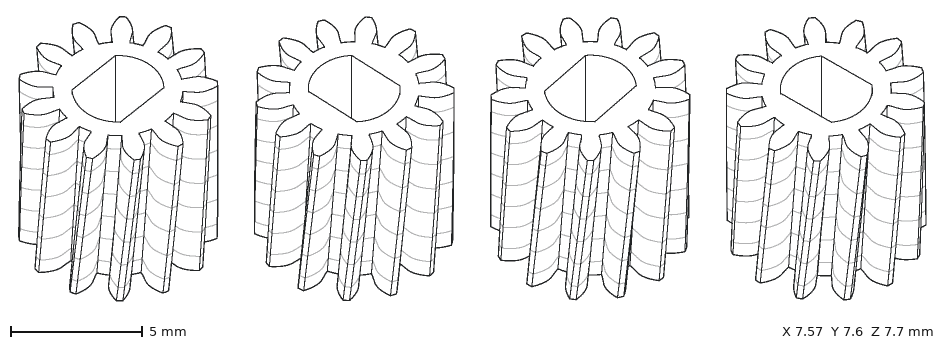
import cadquery as cq
import math


tooth_count = 13
module = 0.5
pressure_angle = math.radians(20)
tip_radius = 3.8
root_radius = 2.47

face_width = 7.7
bore_diameter = 3.5
bore_across_flats = 2.5

total_twist = math.radians(10.2)
twist_step_height = 1.245
twist_step_count = 6
middle_tooth_angle = math.pi

pitch_radius = module * tooth_count / 2
base_radius = pitch_radius * math.cos(pressure_angle)
tooth_pitch_angle = 2 * math.pi / tooth_count
involute_step_count = 4


def involute_angle(radius):
    """Polar angle swept by the involute between the base circle and a radius."""
    roll_pressure_angle = math.acos(base_radius / radius)
    return math.tan(roll_pressure_angle) - roll_pressure_angle


def half_tooth_angle(radius):
    """Half of the angle covered by a tooth; flanks are radial inside the base circle."""
    half_angle_at_pitch = tooth_pitch_angle / 4
    half_angle_at_base = half_angle_at_pitch + involute_angle(pitch_radius)
    return half_angle_at_base - involute_angle(max(radius, base_radius))


def polar_point(radius, angle):
    return (radius * math.cos(angle), radius * math.sin(angle))


def flank_radii():
    """Radii of the points on a flank: the radial foot, then the involute up to the tip."""
    foot_middle = (root_radius + base_radius) / 2
    step = (tip_radius - base_radius) / involute_step_count
    involute_radii = [base_radius + step * i for i in range(involute_step_count)]
    return [root_radius, foot_middle] + involute_radii + [tip_radius]


def gear_section(z):
    """Closed gear outline at height z, turned by the helix."""
    twist = total_twist * z / face_width
    radii = flank_radii()
    first_centre = middle_tooth_angle + twist
    outline = cq.Workplane("XY", origin=(0, 0, z))
    outline = outline.moveTo(*polar_point(root_radius, first_centre - half_tooth_angle(root_radius)))
    for tooth in range(tooth_count):
        centre = first_centre + tooth * tooth_pitch_angle
        rising = [polar_point(r, centre - half_tooth_angle(r)) for r in radii]
        falling = [polar_point(r, centre + half_tooth_angle(r)) for r in reversed(radii)]
        root_middle = polar_point(root_radius, centre + tooth_pitch_angle / 2)
        next_foot_angle = centre + tooth_pitch_angle - half_tooth_angle(root_radius)
        next_foot = polar_point(root_radius, next_foot_angle)
        outline = outline.spline(rising[1:], includeCurrent=True)
        outline = outline.threePointArc(polar_point(tip_radius, centre), falling[0])
        outline = outline.spline(falling[1:], includeCurrent=True)
        outline = outline.threePointArc(root_middle, next_foot)
    return outline.close().val()


def section_heights():
    """Heights of the twisted sections: even steps about the middle, plus both ends."""
    half_steps = twist_step_count - 1
    inner = [twist_step_height * (i - half_steps / 2) for i in range(twist_step_count)]
    return [-face_width / 2] + inner + [face_width / 2]


def toothed_body():
    sections = [gear_section(z) for z in section_heights()]
    return cq.Workplane(cq.Solid.makeLoft(sections, True))


def double_flat_bore():
    round_bore = cq.Workplane("XY").circle(bore_diameter / 2).extrude(face_width / 2, both=True)
    flats = cq.Workplane("XY").box(bore_across_flats, bore_diameter, face_width)
    return round_bore.intersect(flats)


result = toothed_body().cut(double_flat_bore())